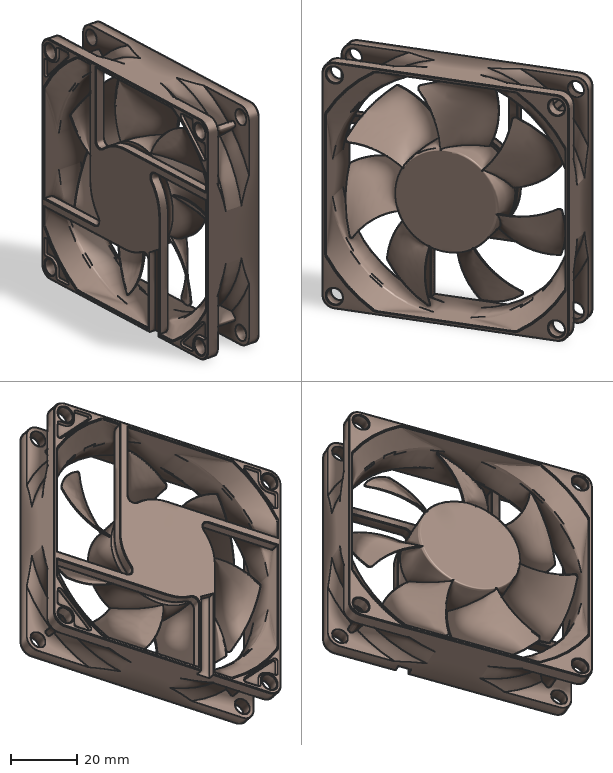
import cadquery as cq
import math

SIDE = 80.0
DEPTH = 20.0
HALF_DEPTH = DEPTH / 2
FRONT = -HALF_DEPTH
CORNER_RADIUS = 4.0
WALL = 1.2
EDGE_CHAMFER = 0.2
INNER_HALF = SIDE / 2 - WALL
FLANGE = 4.0
POCKET_HALF_DEPTH = HALF_DEPTH - FLANGE

DUCT_RADIUS = 39.3
MOUTH_RADIUS = 45.1
MOUTH_DEPTH = 5.2
THROAT_FILLET = 1.2
MOUTH_FILLET = 0.8
BARREL_RADIUS = 41.0
BARREL_HALF_LENGTH = 3.0

HOLE_POSITION = 36.0
HOLE_DIAMETER = 5.2
RIB_THICKNESS = 1.9
RIB_END_RADIUS = 46.7
RIB_FILLET = 0.6
BOSS_RADIUS = 3.1
RECESS_DIAGONAL = 45.6
RECESS_DEPTH = 0.8
RECESS_DRAFT = 30.0
RECESS_FILLET = 0.9

PLATE_RADIUS = 16.8
PLATE_THICKNESS = 3.4
PLATE_BACK = FRONT + PLATE_THICKNESS
ARM_WIDTH = 2.8
ARM_FILLET = 2.0
CABLE_ARM_WIDTH = 5.6
GROOVE_WALL = 0.6
GROOVE_DEPTH = 2.4
GROOVE_END_OUTER = 10.8
GROOVE_END_INNER = 13.4

ROTOR_RADIUS = 16.8
ROTOR_FRONT = -4.8
ROTOR_BACK = 9.4
ROTOR_FILLET = 0.8

BLADE_COUNT = 7
BLADE_FRONT = -4.0
BLADE_BACK = 7.2
BLADE_TWIST = 33.0
BLADE_THICKNESS = 0.7
BLADE_OVERRUN = 2.4
BLADE_TIP_RADIUS = 36.6
BLADE_ROOT_RADIUS = 16.4
BLADE_MID_RADIUS = 26.4
BLADE_TIP_FILLET = 0.8
LEADING_ROOT_ANGLE = 122.0
LEADING_MID_ANGLE = 116.4
LEADING_TIP_ANGLE = 106.2
TRAILING_ROOT_ANGLE = 83.5
TRAILING_MID_ANGLE = 80.4
TRAILING_TIP_ANGLE = 73.2


def sketch_at(y):
    """Workplane at the given Y that faces -Y, with local x along X and local y along Z."""
    return cq.Workplane("XZ", origin=(0, y, 0))


def turned(shape, angle):
    """Turn a shape about Y, counter-clockwise as seen from -Y."""
    return shape.rotate((0, 0, 0), (0, -1, 0), angle)


def polar(radius, degrees):
    angle = math.radians(degrees)
    return (radius * math.cos(angle), radius * math.sin(angle))


def flared_solid(radius, half_length, end):
    """Round solid about Y: a cylinder that flares at 45 degrees from half_length out to end."""
    end_radius = radius + end - half_length
    profile = [
        (0, -end),
        (end_radius, -end),
        (radius, -half_length),
        (radius, half_length),
        (end_radius, end),
        (0, end),
    ]
    return cq.Workplane("XY").polyline(profile).close().revolve(360, (0, 0, 0), (0, 1, 0))


def make_rib():
    """Bar along X that runs between the flanges and ends just inside two opposite screw holes."""
    bar = sketch_at(HALF_DEPTH).rect(2 * RIB_END_RADIUS, RIB_THICKNESS).extrude(DEPTH)
    return bar.edges("|Y").fillet(RIB_FILLET)


def make_duct():
    """Air passage: a cylinder that flares towards both faces, cut off flat inside the side walls."""
    flare = math.atan2(MOUTH_RADIUS - DUCT_RADIUS, MOUTH_DEPTH)
    throat = FRONT + MOUTH_DEPTH
    tangent = THROAT_FILLET * math.tan(flare / 2)
    arc_depth = THROAT_FILLET * math.sin(flare / 2)
    arc_bulge = THROAT_FILLET * (1 - math.cos(flare / 2))
    arc_start = (DUCT_RADIUS, throat + tangent)
    arc_middle = (DUCT_RADIUS + arc_bulge, arc_start[1] - arc_depth)
    arc_end = (DUCT_RADIUS + tangent * math.sin(flare), throat - tangent * math.cos(flare))
    front_half = (
        cq.Workplane("XY")
        .lineTo(DUCT_RADIUS, 0)
        .lineTo(*arc_start)
        .threePointArc(arc_middle, arc_end)
        .lineTo(MOUTH_RADIUS, FRONT)
        .lineTo(0, FRONT)
        .close()
        .revolve(360, (0, 0, 0), (0, 1, 0))
    )
    duct = turned(front_half.union(front_half.mirror("XZ")), 45)
    duct = duct.intersect(sketch_at(HALF_DEPTH).rect(2 * INNER_HALF, 2 * INNER_HALF).extrude(DEPTH))
    flare_edges = duct.faces("<X or >X or <Z or >Z").edges("not %LINE")
    return flare_edges.fillet(MOUTH_FILLET)


def make_screw_holes():
    return (
        sketch_at(HALF_DEPTH)
        .rect(2 * HOLE_POSITION, 2 * HOLE_POSITION, forConstruction=True)
        .vertices()
        .circle(HOLE_DIAMETER / 2)
        .extrude(DEPTH)
    )


def make_shell():
    """Square housing with its corner pockets, duct and screw holes, chamfered at both faces."""
    shell = sketch_at(HALF_DEPTH).rect(SIDE, SIDE).extrude(DEPTH)
    shell = shell.edges("|Y").fillet(CORNER_RADIUS)
    pocket = sketch_at(POCKET_HALF_DEPTH).rect(SIDE, SIDE).extrude(2 * POCKET_HALF_DEPTH)
    pocket = pocket.cut(flared_solid(BARREL_RADIUS, BARREL_HALF_LENGTH, POCKET_HALF_DEPTH))
    for angle in (45, 135):
        pocket = pocket.cut(turned(make_rib(), angle))
    shell = shell.cut(pocket).cut(make_duct()).cut(make_screw_holes())
    return shell.faces("<Y or >Y").edges().chamfer(EDGE_CHAMFER)


def make_recess():
    """Drafted recess of one corner, between the screw boss and the duct mouth."""
    near = math.sqrt(2) * RECESS_DIAGONAL - INNER_HALF
    boss_side = HOLE_POSITION - BOSS_RADIUS
    boss_middle = HOLE_POSITION - BOSS_RADIUS / math.sqrt(2)
    outline = (
        cq.Sketch()
        .segment((near, -INNER_HALF), (boss_side, -INNER_HALF))
        .segment((boss_side, -HOLE_POSITION))
        .arc((boss_middle, -boss_middle), (HOLE_POSITION, -boss_side))
        .segment((INNER_HALF, -boss_side))
        .segment((INNER_HALF, -near))
        .close()
        .assemble()
    )
    corners = [(near, -INNER_HALF), (boss_side, -INNER_HALF), (INNER_HALF, -boss_side), (INNER_HALF, -near)]
    for x, y in corners:
        corner = cq.selectors.NearestToPointSelector((x, y, 0))
        outline = outline.reset().vertices(corner).fillet(RECESS_FILLET)
    inward = cq.Plane(origin=(0, FRONT, 0), xDir=(1, 0, 0), normal=(0, 1, 0))
    return cq.Workplane(inward).placeSketch(outline.reset()).extrude(RECESS_DEPTH, taper=RECESS_DRAFT)


def make_arm(width):
    """Arm that runs up from the plate, with the rounded inner corner where it meets the rim."""
    outer_side = -PLATE_RADIUS
    inner_side = outer_side + width
    arm_end = INNER_HALF + WALL / 2
    fillet_x = inner_side + ARM_FILLET
    fillet_z = math.sqrt((PLATE_RADIUS + ARM_FILLET) ** 2 - fillet_x**2)
    rim_angle = math.degrees(math.atan2(fillet_z, fillet_x))
    arc_x, arc_z = polar(ARM_FILLET, (180 + rim_angle + 180) / 2)
    return (
        sketch_at(PLATE_BACK)
        .moveTo(0, 0)
        .lineTo(outer_side, 0)
        .lineTo(outer_side, arm_end)
        .lineTo(inner_side, arm_end)
        .lineTo(inner_side, fillet_z)
        .threePointArc((fillet_x + arc_x, fillet_z + arc_z), polar(PLATE_RADIUS, rim_angle))
        .close()
        .extrude(PLATE_THICKNESS)
    )


def make_motor_mount():
    """Round motor plate with its four arms, chamfered at the front and back."""
    mount = sketch_at(PLATE_BACK).circle(PLATE_RADIUS).extrude(PLATE_THICKNESS)
    for angle, width in ((0, ARM_WIDTH), (90, ARM_WIDTH), (180, CABLE_ARM_WIDTH), (270, ARM_WIDTH)):
        mount = mount.union(turned(make_arm(width), angle))
    return mount.faces("<Y or >Y").edges().chamfer(EDGE_CHAMFER)


def make_cable_groove():
    """Channel along the wide arm, from a slanted end in the plate out through the -Z wall."""
    inner = PLATE_RADIUS - CABLE_ARM_WIDTH + GROOVE_WALL
    outer = PLATE_RADIUS - GROOVE_WALL
    wall_face = -SIDE / 2
    outline = [(inner, wall_face), (outer, wall_face), (outer, -GROOVE_END_OUTER), (inner, -GROOVE_END_INNER)]
    return sketch_at(FRONT + GROOVE_DEPTH).polyline(outline).close().extrude(GROOVE_DEPTH)


def make_frame():
    body = make_shell().union(make_motor_mount())
    body = body.cut(make_cable_groove())
    for corner in range(4):
        body = body.cut(turned(make_recess(), 90 * corner))
    return body


def make_blade_outline():
    """Blade outline seen along Y, extruded through the whole depth."""
    outline = (
        sketch_at(HALF_DEPTH)
        .moveTo(*polar(BLADE_ROOT_RADIUS, LEADING_ROOT_ANGLE))
        .threePointArc(
            polar(BLADE_MID_RADIUS, LEADING_MID_ANGLE), polar(BLADE_TIP_RADIUS, LEADING_TIP_ANGLE)
        )
        .threePointArc((0, BLADE_TIP_RADIUS), polar(BLADE_TIP_RADIUS, TRAILING_TIP_ANGLE))
        .threePointArc(
            polar(BLADE_MID_RADIUS, TRAILING_MID_ANGLE), polar(BLADE_ROOT_RADIUS, TRAILING_ROOT_ANGLE)
        )
        .close()
        .extrude(DEPTH)
    )
    tip_side = cq.selectors.BoxSelector((-SIDE, -SIDE, BLADE_MID_RADIUS), (SIDE, SIDE, SIDE))
    return outline.edges("|Y").edges(tip_side).fillet(BLADE_TIP_FILLET)


def make_blade():
    """Strip along the leading edge, twisted about Y into a sheet and trimmed to the outline."""
    height = BLADE_BACK - BLADE_FRONT
    overrun_twist = BLADE_TWIST * BLADE_OVERRUN / height
    start = -BLADE_TWIST - overrun_twist
    spine = [
        (BLADE_ROOT_RADIUS - 0.8, LEADING_ROOT_ANGLE),
        (BLADE_MID_RADIUS, LEADING_MID_ANGLE),
        (BLADE_TIP_RADIUS + 1.6, LEADING_TIP_ANGLE - 1.7),
    ]
    sides = []
    for offset in (BLADE_THICKNESS / 2, -BLADE_THICKNESS / 2):
        sides.append([polar(r, angle + start + math.degrees(offset / r)) for r, angle in spine])
    upper, lower = sides
    sheet = (
        sketch_at(BLADE_BACK + BLADE_OVERRUN)
        .moveTo(*upper[0])
        .threePointArc(upper[1], upper[2])
        .lineTo(*lower[2])
        .threePointArc(lower[1], lower[0])
        .close()
        .twistExtrude(height + 2 * BLADE_OVERRUN, BLADE_TWIST + 2 * overrun_twist)
    )
    return sheet.intersect(make_blade_outline())


def make_rotor():
    """Hub with a rounded back edge and its ring of blades."""
    profile_plane = cq.Workplane("YZ")
    hub = (
        profile_plane.moveTo(ROTOR_FRONT, 0)
        .lineTo(ROTOR_BACK, 0)
        .lineTo(ROTOR_BACK, ROTOR_RADIUS)
        .lineTo(ROTOR_FRONT, ROTOR_RADIUS)
        .close()
        .revolve(360, (0, 0, 0), (1, 0, 0))
        .faces(">Y")
        .edges()
        .fillet(ROTOR_FILLET)
    )
    for index in range(BLADE_COUNT):
        hub = hub.union(turned(make_blade(), index * 360 / BLADE_COUNT))
    return hub


frame = make_frame()
rotor = make_rotor()
result = cq.Compound.makeCompound([frame.val(), rotor.val()])